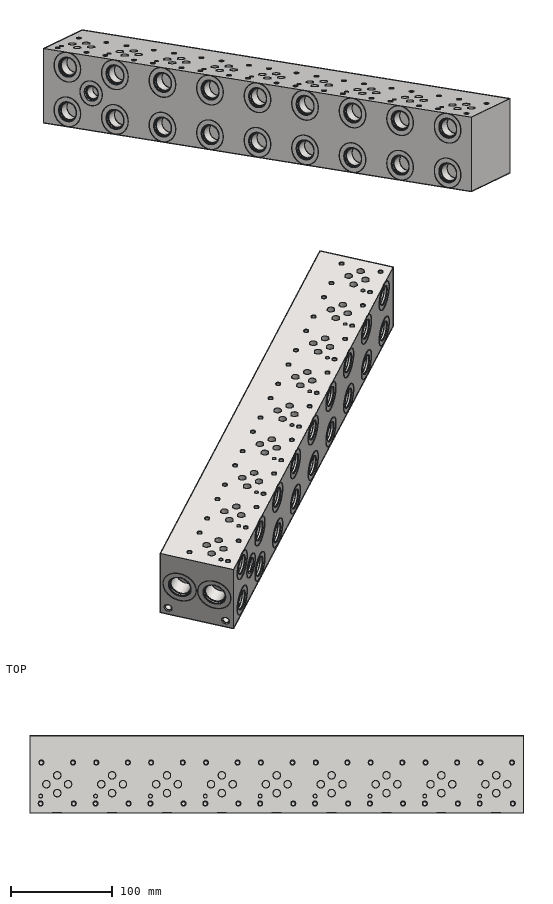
import cadquery as cq
import math

length = 486.0
side = 76.5
half_length = length / 2
half_side = side / 2

station_count = 9
station_pitch = length / station_count
station_xs = [(i - (station_count - 1) / 2) * station_pitch for i in range(station_count)]

spotface_depth = 0.5
step_depth = 3.5

drill_point_angle = 118

work_spotface_dia = 30.0
work_mouth_dia = 20.5
work_entry_dia = 19.0
work_bore_dia = 17.5
work_depth = 14.5
work_port_z = 23.0

pilot_spotface_dia = 25.5
pilot_mouth_dia = 16.0
pilot_entry_dia = 14.0
pilot_bore_dia = 12.5
pilot_depth = 14.5
pilot_x = station_xs[0] + station_pitch / 2

supply_spotface_dia = 34.5
supply_mouth_dia = 24.0
supply_entry_dia = 22.5
supply_bore_dia = 20.5
supply_depth = 19.5
supply_port_y = 18.0

corner_mouth_dia = 8.5
corner_hole_dia = 6.5
corner_hole_depth = 14.5
corner_inset = 8.5

valve_y = -9.5
valve_port_dia = 7.5
valve_port_depth = 12.0
valve_port_half_x = 10.5
valve_port_half_y = 8.7
screw_mouth_dia = 5.0
screw_hole_dia = 4.05
screw_hole_depth = 10.5
rear_screw_spacing = 31.0
front_screw_spacing = 32.5
rear_screw_y = 11.5
front_screw_y = -28.5
pin_dia = 3.7
pin_depth = 4.0
pin_to_front_screw = 7.5


def turned_tool(profile):
    """Revolve (radius, height) points about the Z axis."""
    return cq.Workplane("XZ").polyline(profile).close().revolve(360, (0, 0), (0, 1)).val()


def port_tool(spotface_dia, mouth_dia, entry_dia, bore_dia, depth):
    """Tool for a port entering the plane z = 0 downwards, with a 45 degree lead-in."""
    lead_in_bottom = -spotface_depth - (mouth_dia - entry_dia) / 2
    return turned_tool([
        (0, 0),
        (spotface_dia / 2, 0),
        (spotface_dia / 2, -spotface_depth),
        (mouth_dia / 2, -spotface_depth),
        (entry_dia / 2, lead_in_bottom),
        (entry_dia / 2, -step_depth),
        (bore_dia / 2, -step_depth),
        (bore_dia / 2, -depth),
        (0, -depth),
    ])


def screw_hole_tool(mouth_dia, hole_dia, depth):
    """Tool for a screw hole entering the plane z = 0 downwards, with a 45 degree lead-in."""
    point_depth = hole_dia / 2 / math.tan(math.radians(drill_point_angle / 2))
    return turned_tool([
        (0, 0),
        (mouth_dia / 2, 0),
        (hole_dia / 2, -(mouth_dia - hole_dia) / 2),
        (hole_dia / 2, -depth),
        (0, -depth - point_depth),
    ])


def plain_hole(diameter, depth):
    """Tool for a flat-bottomed hole entering the plane z = 0 downwards."""
    return cq.Workplane("XY").circle(diameter / 2).extrude(-depth).val()


def on_front(tool, x, z):
    return tool.rotate((0, 0, 0), (1, 0, 0), 90).translate((x, -half_side, z))


def on_end(tool, y, z):
    return tool.rotate((0, 0, 0), (0, 1, 0), -90).translate((-half_length, y, z))


def on_top(tool, x, y):
    return tool.translate((x, y, half_side))


work_port = port_tool(
    work_spotface_dia, work_mouth_dia, work_entry_dia, work_bore_dia, work_depth
)
pilot_port = port_tool(
    pilot_spotface_dia, pilot_mouth_dia, pilot_entry_dia, pilot_bore_dia, pilot_depth
)
supply_port = port_tool(
    supply_spotface_dia, supply_mouth_dia, supply_entry_dia, supply_bore_dia, supply_depth
)
corner_hole = screw_hole_tool(corner_mouth_dia, corner_hole_dia, corner_hole_depth)
screw_hole = screw_hole_tool(screw_mouth_dia, screw_hole_dia, screw_hole_depth)
valve_port = plain_hole(valve_port_dia, valve_port_depth)
pin_hole = plain_hole(pin_dia, pin_depth)


def valve_pattern(x):
    """Four valve ports, four screw holes and a locating pin hole around one station."""
    tools = []
    for sign in (-1, 1):
        tools.append(on_top(valve_port, x + sign * valve_port_half_x, valve_y))
        tools.append(on_top(valve_port, x, valve_y + sign * valve_port_half_y))
        tools.append(on_top(screw_hole, x + sign * rear_screw_spacing / 2, rear_screw_y))
        tools.append(on_top(screw_hole, x + sign * front_screw_spacing / 2, front_screw_y))
    tools.append(on_top(pin_hole, x - front_screw_spacing / 2, front_screw_y + pin_to_front_screw))
    return tools


holes = [on_front(pilot_port, pilot_x, 0)]
for station_x in station_xs:
    holes += valve_pattern(station_x)
    holes += [on_front(work_port, station_x, z) for z in (-work_port_z, work_port_z)]
corner_offset = half_side - corner_inset
for sign in (-1, 1):
    holes.append(on_end(supply_port, sign * supply_port_y, 0))
    holes.append(on_end(corner_hole, sign * corner_offset, -corner_offset))

block = cq.Workplane("XY").box(length, side, side)
result = cq.Workplane("XY").newObject([block.val().cut(*holes)])